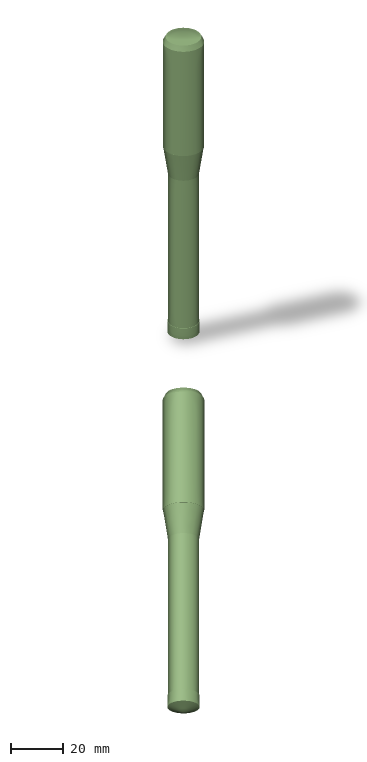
import cadquery as cq

total_length = 132.2
shank_diameter = 15.9
neck_diameter = 11.9
head_diameter = 12.3
tip_height = 2.2
head_top = 7.0
neck_top = 72.1
taper_top = 84.1
ledge_width = 0.1
chamfer_height = 2.1
chamfer_width = 1.12

shank_radius = shank_diameter / 2
neck_radius = neck_diameter / 2
head_radius = head_diameter / 2


def revolve_profile(points):
    """Turn a closed (radius, height) outline about the Z axis."""
    return cq.Workplane("XZ").polyline(points).close().revolve(360, (0, 0), (0, 1))


def make_holder():
    """Neck, taper, ledge and chamfered shank in one piece."""
    return revolve_profile([
        (0, head_top),
        (neck_radius, head_top),
        (neck_radius, neck_top),
        (shank_radius - ledge_width, taper_top),
        (shank_radius, taper_top),
        (shank_radius, total_length - chamfer_height),
        (shank_radius - chamfer_width, total_length),
        (0, total_length),
    ])


def make_cutting_head():
    """Short cylinder with a shallow conical tip, seated on the end of the neck."""
    return revolve_profile([
        (0, 0),
        (head_radius, tip_height),
        (head_radius, head_top),
        (0, head_top),
    ])


holder = make_holder()
cutting_head = make_cutting_head()

result = cq.Compound.makeCompound([holder.val(), cutting_head.val()])